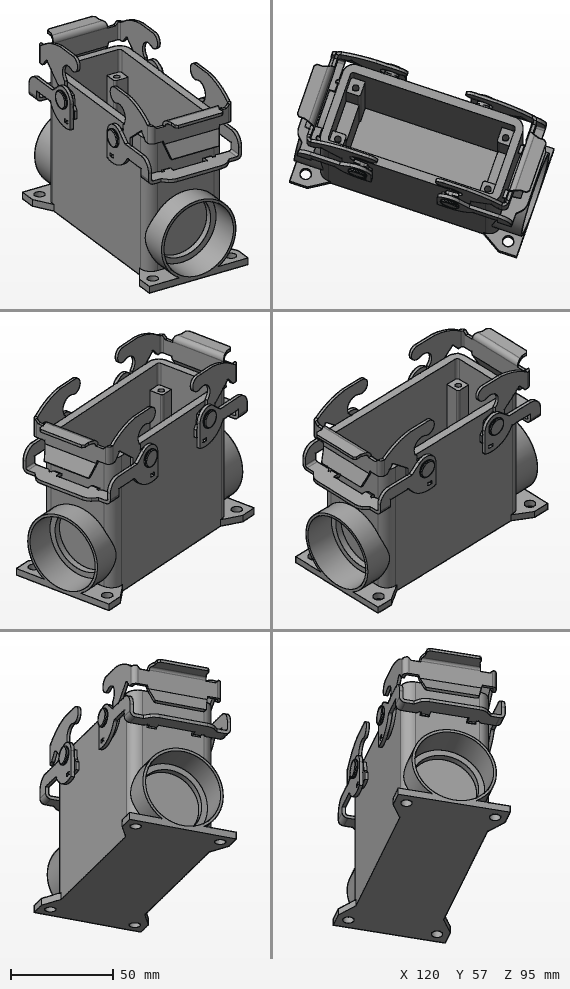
import cadquery as cq
import math


DIAGONAL = math.sqrt(0.5)

BODY_LENGTH = 93.1
BODY_WIDTH = 44.6
BODY_HEIGHT = 77.1
BODY_CORNER_R = 6.0
CAVITY_LENGTH = 85.0
CAVITY_WIDTH = 36.0
CAVITY_CORNER_R = 1.4
FLOOR_THICKNESS = 3.7

POST_LENGTH = 7.2
POST_WIDTH = 7.8
POST_EDGE_R = 1.2
POST_TOP = 64.7
POST_HOLE_X = 38.8
POST_HOLE_Y = 13.5
POST_HOLE_R = 1.5
POST_HOLE_DEPTH = 12.0
POST_HOLE_TAPER = 1.5
END_WALL_FACE_X = 35.9

ENTRY_END_X = 58.7
ENTRY_Z = 22.0
ENTRY_R = 21.5
ENTRY_BORE_R = 20.0
ENTRY_STEP_X = CAVITY_LENGTH / 2
KNOCKOUT_R = 16.9
KNOCKOUT_FACE_X = 39.0
END_WALL_TOP = ENTRY_Z + ENTRY_R

FOOT_THICKNESS = 3.7
FOOT_WIDTH = 57.0
FOOT_HALF_WIDTH = FOOT_WIDTH / 2
FOOT_SHOULDER_X = 49.4
FOOT_INNER_X = 39.5
FOOT_HOLE_X = 52.3
FOOT_HOLE_Y = 22.5
FOOT_HOLE_R = 2.8

PIVOT_X = -23.9
PIVOT_Z = 70.1
PIN_R = 3.6
PIN_HEAD_R = 4.8
PIN_HEAD_CHAMFER = 0.5

HOOK_SHEET = 1.5
HOOK_INNER_Y = BODY_WIDTH / 2
HOOK_OUTER_Y = HOOK_INNER_Y + HOOK_SHEET
WEB_OUTER_X = -52.1
WEB_INNER_X = WEB_OUTER_X + HOOK_SHEET
WEB_BEND_R = 2.6
WEB_BOTTOM = 77.6
WEB_TOP = 87.5
WEB_DIP_Z = 85.7
WEB_DIP_HALF_WIDTH = 20.0
WEB_DIP_SLOPE = 1.8
HOOK_TIP_X = -19.3
HOOK_TIP_R = 4.2
HOOK_TOP = 95.0
THROAT_X = -23.5
THROAT_Z = 82.0
THROAT_END_X = -27.0
THROAT_END_DROP = 3.1
BACK_CURVE_MID = (-41.0, 92.4)
BACK_CURVE_END_X = -31.2
HOOK_TAIL_X = -18.0
TAIL_SHOULDER = [(-20.4, 72.6), (-19.7, 67.2)]
TAIL_CURVE_MID = (-28.2, 62.3)
NECK_EDGE_X = -33.2
NECK_EDGE_BOTTOM = 68.6
NECK_EDGE_TOP = 73.2
GUSSET_NOTCH = [(-43.4, 81.7), (-44.1, 81.7), (-47.6, WEB_BOTTOM)]
TAIL_TOP = 65.0
TAIL_BOTTOM = 60.7
GRIP_END_X = -60.0
GRIP_TOP = 88.9
GRIP_BEND_R = 2.9
GRIP_HALF_WIDTH = 13.8
GRIP_CORNER = 1.2
GRIP_FLARE_X = -55.8
GRIP_ROOT_HALF_WIDTH = 15.7
FLAP_TIP_X = -54.3
FLAP_TIP_Z = 67.7
FLAP_ROOT_Z = 75.8
FLAP_CORNER_R = 1.2
FLAP_TIP_HALF_WIDTH = 13.4
FLAP_ROOT_HALF_WIDTH = 16.2

SPRING_SHEET = 1.8
SPRING_OUTER_Y = 26.9
SPRING_INNER_Y = SPRING_OUTER_Y - SPRING_SHEET
SPRING_EYE_R = 6.8
SPRING_TAIL_X = PIVOT_X + SPRING_EYE_R
SPRING_TAIL_Z = 56.0
SPRING_TAIL_MID = (-26.3, 56.0)
SPRING_TAIL_END = (-35.3, 63.2)
ARM_ROOT_X = -36.0
SPRING_BEND_R = 2.9
ARM_TOP = 70.9
ARM_BOTTOM = 63.8
ARM_OUTER_X = -55.3
ARM_INNER_X = -48.2
ARM_CORNER_R = 6.7
NECK_ANGLE = 130
STRAP_BOTTOM = 57.6
STRAP_TOP = STRAP_BOTTOM + SPRING_SHEET
STRAP_OUTER_X = -59.3
TOOTH_OUTER_Y = 13.9
STRAP_BULGE_HALF_WIDTH = 12.7
STRAP_BULGE_MID = (-58.9, 15.0)
STRAP_BULGE_END = (-57.8, 17.0)
STRAP_SHOULDER_Y = 19.5
RELIEF_NOTCH = [(ARM_INNER_X, 16.3), (-49.5, 15.0), (-49.2, TOOTH_OUTER_Y)]
STRAP_NOTCH_X = -51.0
STRAP_NOTCH_HALF_WIDTH = 9.7
TOOTH_DROP = 0.8
SLOT_X = -21.1
SLOT_Z = 59.0
SLOT_LENGTH = 2.6
SLOT_HEIGHT = 1.5


def both_sides(shape, plane):
    """Return the shape together with its mirror image."""
    return shape.union(shape.mirror(plane))


def side_plate(profile, inner_y, outer_y):
    """Extrude an XZ profile drawn on the plane Y = 0 into a plate on the -Y side."""
    return profile.extrude(outer_y - inner_y).translate((0, -inner_y, 0))


def xz():
    return cq.Workplane("XZ")


def x_cylinder(radius, start_x, end_x):
    return cq.Workplane("YZ", origin=(start_x, 0, ENTRY_Z)).circle(radius).extrude(end_x - start_x)


def pivot_disc(radius, inner_y, outer_y):
    return side_plate(xz().center(PIVOT_X, PIVOT_Z).circle(radius), inner_y, outer_y)


def make_foot():
    outline = [
        (-FOOT_INNER_X, -BODY_WIDTH / 2),
        (-FOOT_SHOULDER_X, -FOOT_HALF_WIDTH),
        (-ENTRY_END_X, -FOOT_HALF_WIDTH),
        (-ENTRY_END_X, FOOT_HALF_WIDTH),
        (-FOOT_SHOULDER_X, FOOT_HALF_WIDTH),
        (-FOOT_INNER_X, BODY_WIDTH / 2),
    ]
    holes = [(-FOOT_HOLE_X, -FOOT_HOLE_Y), (-FOOT_HOLE_X, FOOT_HOLE_Y)]
    foot = cq.Workplane("XY").polyline(outline).close().extrude(FOOT_THICKNESS)
    return foot.cut(cq.Workplane("XY").pushPoints(holes).circle(FOOT_HOLE_R).extrude(FOOT_THICKNESS))


def make_cavity():
    """Hollow of the housing, leaving the screw posts and thick end walls standing."""
    height = BODY_HEIGHT - FLOOR_THICKNESS
    cavity = (
        cq.Workplane("XY", origin=(0, 0, FLOOR_THICKNESS))
        .rect(CAVITY_LENGTH, CAVITY_WIDTH)
        .extrude(height)
        .edges("|Z")
        .fillet(CAVITY_CORNER_R)
    )
    post_x = (CAVITY_LENGTH - POST_LENGTH) / 2
    post_y = (CAVITY_WIDTH - POST_WIDTH) / 2
    inner_edges = cq.selectors.BoxSelector(
        (-post_x, -post_y, 0),
        (post_x, post_y, POST_TOP),
    )
    posts = (
        cq.Workplane("XY")
        .rect(2 * post_x, 2 * post_y, forConstruction=True)
        .vertices()
        .rect(POST_LENGTH, POST_WIDTH)
        .extrude(POST_TOP)
        .edges("|Z")
        .edges(inner_edges)
        .fillet(POST_EDGE_R)
    )
    post_holes = (
        cq.Workplane("XY", origin=(0, 0, POST_TOP))
        .rect(2 * POST_HOLE_X, 2 * POST_HOLE_Y, forConstruction=True)
        .vertices()
        .circle(POST_HOLE_R)
        .extrude(-POST_HOLE_DEPTH, taper=POST_HOLE_TAPER)
    )
    wall_depth = CAVITY_LENGTH / 2 - END_WALL_FACE_X
    end_walls = (
        cq.Workplane("XY")
        .pushPoints([(side * (END_WALL_FACE_X + wall_depth / 2), 0) for side in (-1, 1)])
        .rect(wall_depth, CAVITY_WIDTH)
        .extrude(END_WALL_TOP)
    )
    return cavity.cut(posts).cut(end_walls).union(post_holes)


def make_housing():
    body = (
        cq.Workplane("XY")
        .rect(BODY_LENGTH, BODY_WIDTH)
        .extrude(BODY_HEIGHT)
        .edges("|Z")
        .fillet(BODY_CORNER_R)
    )
    entry = x_cylinder(ENTRY_R, -ENTRY_END_X, -END_WALL_FACE_X)
    bore = x_cylinder(ENTRY_BORE_R, -ENTRY_END_X, -ENTRY_STEP_X)
    knockout = x_cylinder(KNOCKOUT_R, -ENTRY_END_X, -KNOCKOUT_FACE_X)
    ends = both_sides(make_foot().union(entry), "YZ")
    bores = both_sides(bore.union(knockout), "YZ")
    return body.union(ends).cut(make_cavity()).cut(bores)


def make_hook_side():
    """One flat side of the hooked lever, on the -Y side."""
    tip_z = HOOK_TOP - HOOK_TIP_R
    throat_dx = THROAT_X - HOOK_TIP_X
    throat_dz = THROAT_Z - tip_z
    spacing = math.hypot(throat_dx, throat_dz)
    throat_r = spacing - HOOK_TIP_R
    meet = (
        HOOK_TIP_X + throat_dx * HOOK_TIP_R / spacing,
        tip_z + throat_dz * HOOK_TIP_R / spacing,
    )
    throat_end_z = THROAT_Z - math.sqrt(throat_r**2 - (THROAT_END_X - THROAT_X) ** 2)
    side_start_x = WEB_OUTER_X + WEB_BEND_R
    profile = (
        xz()
        .moveTo(side_start_x, WEB_BOTTOM)
        .lineTo(side_start_x, WEB_TOP)
        .threePointArc(BACK_CURVE_MID, (BACK_CURVE_END_X, HOOK_TOP))
        .lineTo(HOOK_TIP_X, HOOK_TOP)
        .threePointArc((HOOK_TIP_X + HOOK_TIP_R, tip_z), meet)
        .threePointArc((THROAT_X - throat_r, THROAT_Z), (THROAT_END_X, throat_end_z))
        .lineTo(THROAT_END_X, throat_end_z - THROAT_END_DROP)
        .polyline(TAIL_SHOULDER, includeCurrent=True)
        .lineTo(HOOK_TAIL_X, TAIL_TOP)
        .lineTo(HOOK_TAIL_X, TAIL_BOTTOM)
        .threePointArc(TAIL_CURVE_MID, (NECK_EDGE_X, NECK_EDGE_BOTTOM))
        .lineTo(NECK_EDGE_X, NECK_EDGE_TOP)
        .polyline(GUSSET_NOTCH, includeCurrent=True)
        .close()
    )
    return side_plate(profile, HOOK_INNER_Y, HOOK_OUTER_Y)


def make_hook_web():
    """Cross web joining the two hook sides, with rounded vertical bends."""
    depth = 2 * WEB_BEND_R
    height = WEB_TOP - WEB_BOTTOM
    center = (WEB_OUTER_X + depth / 2, 0, WEB_BOTTOM + height / 2)
    outer = cq.Workplane("XY").box(depth, 2 * HOOK_OUTER_Y, height).edges("|Z and <X").fillet(WEB_BEND_R)
    inner = (
        cq.Workplane("XY")
        .box(depth, 2 * HOOK_INNER_Y, height)
        .edges("|Z and <X")
        .fillet(WEB_BEND_R - HOOK_SHEET)
        .translate((HOOK_SHEET, 0, 0))
    )
    outer_half = cq.Workplane("XY").box(WEB_BEND_R, 2 * HOOK_OUTER_Y, height)
    outer_half = outer_half.translate((-WEB_BEND_R / 2, 0, 0))
    web = outer.cut(inner).intersect(outer_half).translate(center)
    dip = (
        cq.Workplane("YZ", origin=(WEB_OUTER_X, 0, 0))
        .moveTo(-WEB_DIP_HALF_WIDTH, WEB_DIP_Z)
        .lineTo(WEB_DIP_HALF_WIDTH, WEB_DIP_Z)
        .lineTo(WEB_DIP_HALF_WIDTH + WEB_DIP_SLOPE, WEB_TOP)
        .lineTo(-WEB_DIP_HALF_WIDTH - WEB_DIP_SLOPE, WEB_TOP)
        .close()
        .extrude(WEB_BEND_R)
    )
    return web.cut(dip)


def make_grip():
    """Finger flange bent outward from the top of the web."""
    bend_x = WEB_INNER_X - GRIP_BEND_R
    bend_z = GRIP_TOP - GRIP_BEND_R
    inner_r = GRIP_BEND_R - HOOK_SHEET
    section = (
        xz()
        .moveTo(WEB_INNER_X, WEB_BOTTOM)
        .lineTo(WEB_INNER_X, bend_z)
        .threePointArc(
            (bend_x + GRIP_BEND_R * DIAGONAL, bend_z + GRIP_BEND_R * DIAGONAL),
            (bend_x, GRIP_TOP),
        )
        .lineTo(GRIP_END_X, GRIP_TOP)
        .lineTo(GRIP_END_X, GRIP_TOP - HOOK_SHEET)
        .lineTo(bend_x, GRIP_TOP - HOOK_SHEET)
        .threePointArc(
            (bend_x + inner_r * DIAGONAL, bend_z + inner_r * DIAGONAL),
            (WEB_OUTER_X, bend_z),
        )
        .lineTo(WEB_OUTER_X, WEB_BOTTOM)
        .close()
        .extrude(GRIP_ROOT_HALF_WIDTH, both=True)
    )
    half_plan = (
        cq.Workplane("XY", origin=(0, 0, WEB_BOTTOM))
        .moveTo(GRIP_END_X, 0)
        .lineTo(GRIP_END_X, GRIP_HALF_WIDTH - GRIP_CORNER)
        .lineTo(GRIP_END_X + GRIP_CORNER, GRIP_HALF_WIDTH)
        .lineTo(GRIP_FLARE_X, GRIP_HALF_WIDTH)
        .lineTo(WEB_INNER_X, GRIP_ROOT_HALF_WIDTH)
        .lineTo(WEB_INNER_X, 0)
        .close()
        .extrude(GRIP_TOP - WEB_BOTTOM)
    )
    return section.intersect(both_sides(half_plan, "XZ"))


def make_flap():
    """Tapered flap leaning outward below the web."""
    lean = math.atan2(WEB_INNER_X - FLAP_TIP_X, FLAP_ROOT_Z - FLAP_TIP_Z)
    section = (
        xz()
        .moveTo(WEB_INNER_X, WEB_BOTTOM)
        .lineTo(WEB_OUTER_X, WEB_BOTTOM)
        .lineTo(WEB_OUTER_X, FLAP_ROOT_Z)
        .lineTo(FLAP_TIP_X - HOOK_SHEET * math.cos(lean), FLAP_TIP_Z + HOOK_SHEET * math.sin(lean))
        .lineTo(FLAP_TIP_X, FLAP_TIP_Z)
        .lineTo(WEB_INNER_X, FLAP_ROOT_Z)
        .close()
        .extrude(FLAP_ROOT_HALF_WIDTH, both=True)
    )
    outline = [
        (-FLAP_ROOT_HALF_WIDTH, WEB_BOTTOM),
        (-FLAP_TIP_HALF_WIDTH, FLAP_TIP_Z),
        (FLAP_TIP_HALF_WIDTH, FLAP_TIP_Z),
        (FLAP_ROOT_HALF_WIDTH, WEB_BOTTOM),
    ]
    taper = cq.Workplane("YZ", origin=(GRIP_END_X, 0, 0)).polyline(outline).close()
    taper = taper.extrude(WEB_INNER_X - GRIP_END_X).edges("|X and <Z").fillet(FLAP_CORNER_R)
    return section.intersect(taper)


def make_hook_lever():
    sides = both_sides(make_hook_side(), "XZ")
    return sides.union(make_hook_web()).union(make_grip()).union(make_flap())


def make_spring_side():
    """One flat side of the spring lever, on the -Y side."""
    arm_corner_x = ARM_OUTER_X + ARM_CORNER_R
    arm_corner_z = ARM_TOP - ARM_CORNER_R
    neck_angle = math.radians(NECK_ANGLE)
    touch = (
        PIVOT_X + SPRING_EYE_R * math.cos(neck_angle),
        PIVOT_Z + SPRING_EYE_R * math.sin(neck_angle),
    )
    neck_x = touch[0] - (touch[1] - ARM_TOP) * math.tan(math.pi - neck_angle)
    profile = (
        xz()
        .moveTo(SPRING_TAIL_X, SPRING_TAIL_Z)
        .threePointArc(SPRING_TAIL_MID, SPRING_TAIL_END)
        .lineTo(ARM_ROOT_X, ARM_BOTTOM)
        .lineTo(ARM_INNER_X, ARM_BOTTOM)
        .lineTo(ARM_INNER_X, STRAP_BOTTOM)
        .lineTo(ARM_OUTER_X, STRAP_BOTTOM)
        .lineTo(ARM_OUTER_X, arm_corner_z)
        .threePointArc(
            (arm_corner_x - ARM_CORNER_R * DIAGONAL, arm_corner_z + ARM_CORNER_R * DIAGONAL),
            (arm_corner_x, ARM_TOP),
        )
        .lineTo(neck_x, ARM_TOP)
        .lineTo(*touch)
        .threePointArc((PIVOT_X, PIVOT_Z + SPRING_EYE_R), (SPRING_TAIL_X, PIVOT_Z))
        .close()
    )
    slot = xz().center(SLOT_X, SLOT_Z).rect(SLOT_LENGTH, SLOT_HEIGHT)
    side = side_plate(profile, SPRING_INNER_Y, SPRING_OUTER_Y)
    return side.cut(side_plate(slot, SPRING_INNER_Y, SPRING_OUTER_Y))


def make_strap():
    """Flat cross strap between the arms; its half outline is mirrored about Y = 0."""
    half = (
        cq.Workplane("XY", origin=(0, 0, STRAP_BOTTOM))
        .moveTo(STRAP_OUTER_X, 0)
        .lineTo(STRAP_OUTER_X, STRAP_BULGE_HALF_WIDTH)
        .threePointArc(STRAP_BULGE_MID, STRAP_BULGE_END)
        .lineTo(ARM_OUTER_X, STRAP_SHOULDER_Y)
        .lineTo(ARM_OUTER_X, SPRING_OUTER_Y)
        .lineTo(ARM_INNER_X, SPRING_OUTER_Y)
        .polyline(RELIEF_NOTCH, includeCurrent=True)
        .lineTo(ARM_INNER_X, TOOTH_OUTER_Y)
        .lineTo(ARM_INNER_X, STRAP_NOTCH_HALF_WIDTH)
        .lineTo(STRAP_NOTCH_X, STRAP_NOTCH_HALF_WIDTH)
        .lineTo(STRAP_NOTCH_X, 0)
        .close()
        .extrude(SPRING_SHEET)
    )
    tooth_tip_x = -BODY_LENGTH / 2
    tooth = (
        cq.Workplane("XZ", origin=(0, TOOTH_OUTER_Y, 0))
        .moveTo(ARM_INNER_X, STRAP_TOP)
        .lineTo(tooth_tip_x, STRAP_TOP - TOOTH_DROP)
        .lineTo(tooth_tip_x, STRAP_BOTTOM)
        .lineTo(ARM_INNER_X, STRAP_BOTTOM - TOOTH_DROP)
        .close()
        .extrude(TOOTH_OUTER_Y - STRAP_NOTCH_HALF_WIDTH)
    )
    return both_sides(half.union(tooth), "XZ")


def make_spring_lever():
    arm_middle_x = (ARM_OUTER_X + ARM_INNER_X) / 2
    lever = both_sides(make_spring_side(), "XZ").union(make_strap())
    bend_lines = [
        (SPRING_OUTER_Y, STRAP_BOTTOM, SPRING_BEND_R),
        (SPRING_INNER_Y, STRAP_TOP, SPRING_BEND_R - SPRING_SHEET),
    ]
    for y, z, radius in bend_lines:
        for side in (-1, 1):
            bend = cq.selectors.NearestToPointSelector((arm_middle_x, side * y, z))
            lever = lever.edges(bend).fillet(radius)
    return lever


def make_pin():
    shank = pivot_disc(PIN_R, BODY_WIDTH / 2, SPRING_OUTER_Y)
    head = pivot_disc(PIN_HEAD_R, SPRING_OUTER_Y, FOOT_HALF_WIDTH)
    head = head.edges("%CIRCLE").chamfer(PIN_HEAD_CHAMFER)
    return shank.union(head)


def make_lever_set():
    """Both levers and their pins at the -X end of the housing."""
    pins = both_sides(make_pin(), "XZ")
    return make_hook_lever().union(make_spring_lever()).union(pins)


result = make_housing().union(both_sides(make_lever_set(), "YZ"))